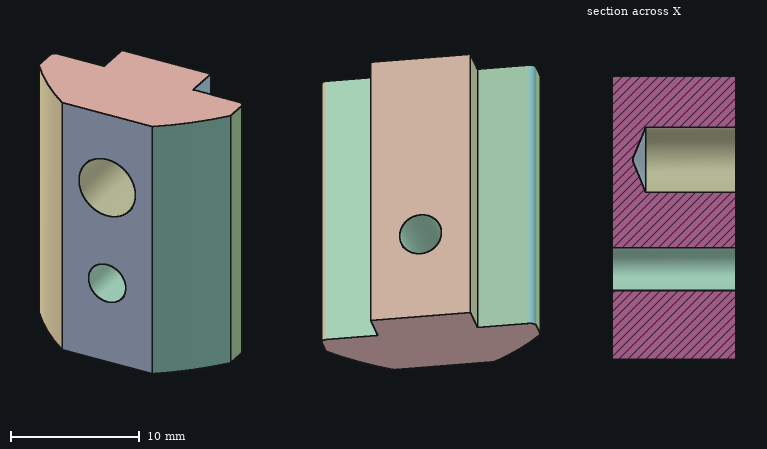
import cadquery as cq
import math

length = 22.0
base_width = 17.0
depth = 9.6
stem_width = 7.9
stem_height = 2.9
nose_width = 8.0
flank_depth = 4.45
flank_radius = 22.0
shoulder_radius = 0.5

through_hole_diameter = 3.3
through_hole_z = 7.0
blind_hole_diameter = 5.0
blind_hole_z = 15.5
blind_hole_depth = 7.0
drill_point_angle = 135.0
drill_tip_diameter = 0.25

nose_y = 0.0
shoulder_y = nose_y + depth - stem_height
stem_y = nose_y + depth


def flank_bulge():
    """Height of the flank arc above its chord."""
    half_chord = math.hypot((base_width - nose_width) / 2, flank_depth) / 2
    return flank_radius - math.sqrt(flank_radius**2 - half_chord**2)


def make_body():
    """Extrude the T profile and round the outer shoulder edges."""
    half_base = base_width / 2
    half_stem = stem_width / 2
    half_nose = nose_width / 2
    flank_y = nose_y + flank_depth
    bulge = flank_bulge()
    profile = (
        cq.Workplane("XY")
        .moveTo(-half_nose, nose_y)
        .lineTo(half_nose, nose_y)
        .sagittaArc((half_base, flank_y), -bulge)
        .lineTo(half_base, shoulder_y)
        .lineTo(half_stem, shoulder_y)
        .lineTo(half_stem, stem_y)
        .lineTo(-half_stem, stem_y)
        .lineTo(-half_stem, shoulder_y)
        .lineTo(-half_base, shoulder_y)
        .lineTo(-half_base, flank_y)
        .sagittaArc((-half_nose, nose_y), -bulge)
        .close()
    )
    body = profile.extrude(length)
    shoulder_corners = [(side * half_base, shoulder_y, length / 2) for side in (-1, 1)]
    for corner in shoulder_corners:
        shoulder_edge = body.edges(cq.selectors.NearestToPointSelector(corner))
        body = shoulder_edge.fillet(shoulder_radius)
    return body


def make_through_hole():
    """Plain cylinder across the full depth of the nut."""
    centre = cq.Vector(0, nose_y, through_hole_z)
    return cq.Solid.makeCylinder(through_hole_diameter / 2, depth, centre, cq.Vector(0, 1, 0))


def make_blind_hole():
    """Drilled hole whose conical end stops at a small flat tip."""
    radius = blind_hole_diameter / 2
    tip_radius = drill_tip_diameter / 2
    cone_height = (radius - tip_radius) / math.tan(math.radians(drill_point_angle / 2))
    outline = (
        cq.Workplane("XY", origin=(0, 0, blind_hole_z))
        .moveTo(0, nose_y)
        .lineTo(radius, nose_y)
        .lineTo(radius, nose_y + blind_hole_depth)
        .lineTo(tip_radius, nose_y + blind_hole_depth + cone_height)
        .lineTo(0, nose_y + blind_hole_depth + cone_height)
        .close()
    )
    return outline.revolve(360, (0, 0, 0), (0, 1, 0))


result = make_body().cut(make_through_hole()).cut(make_blind_hole())